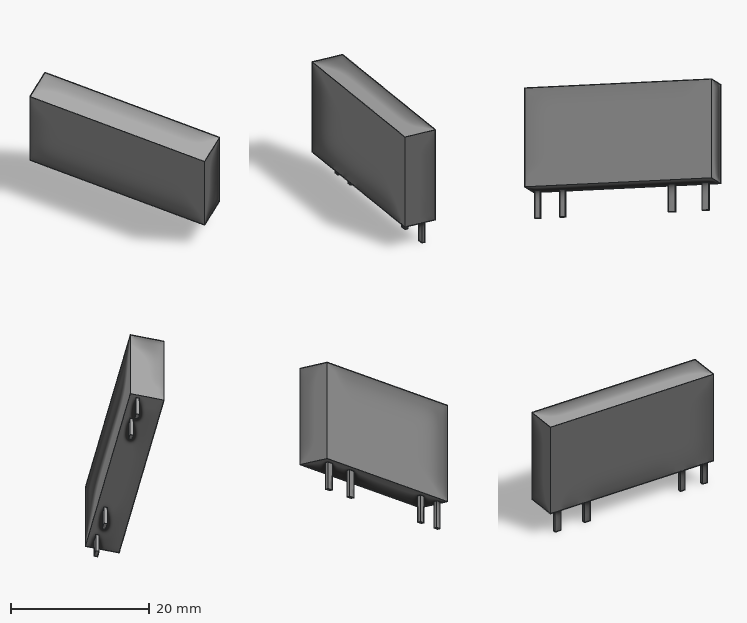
import cadquery as cq

length = 28.0
width = 5.0
total_height = 18.5
pin_length = 4.0
body_height = total_height - pin_length

pin_thickness = 0.5
pin_row_y = 1.3
narrow_pin_width = 0.8
wide_pin_width = 1.0

pins = [
    (0.9, narrow_pin_width),
    (4.68, narrow_pin_width),
    (21.03, wide_pin_width),
    (26.07, wide_pin_width),
]


def make_body():
    """Plain rectangular housing standing on Z = 0."""
    return cq.Workplane("XY").box(length, width, body_height, centered=(True, True, False))


def make_pin(end_distance, pin_width):
    """Flat pin hanging from the underside of the housing."""
    return (
        cq.Workplane("XY")
        .center(end_distance - length / 2, pin_row_y)
        .rect(pin_width, pin_thickness)
        .extrude(-pin_length)
    )


result = make_body()
for end_distance, pin_width in pins:
    result = result.union(make_pin(end_distance, pin_width))